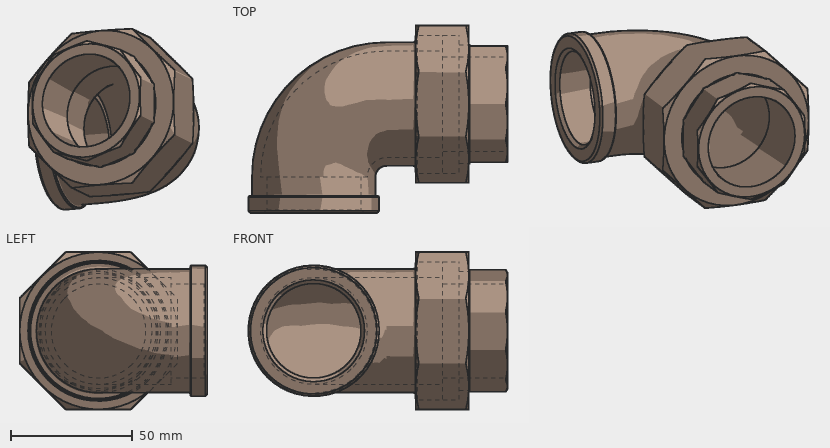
import cadquery as cq
import math


overall_length = 107.0
overall_depth = 77.5

bend_radius = 30.0
pipe_diameter = 51.0
bend_bore_diameter = 44.0
thread_bore_diameter = 39.0
mouth_flare_diameter = 41.9
mouth_flare_depth = 1.5
collar_diameter = 54.0
collar_length = 7.2
collar_front_chamfer = 1.0
collar_back_chamfer = 0.5
collar_root_fillet = 0.5
shoulder_fillet = 1.0
shoulder_diameter = 56.9
shoulder_chamfer = 0.5
shoulder_standout = 0.1

nut_start = 42.0
nut_end = 64.0
nut_sides = 8
nut_across_flats = 65.0
nut_corner_fillet = 1.0
nut_face_diameter = 64.7
nut_face_angle = 25
nut_mouth_diameter = 58.0
nut_lip_thickness = 4.3

tail_sides = 10
tail_across_flats = 48.0
tail_corner_fillet = 1.0
tail_face_diameter = 47.5
tail_face_angle = 30
tail_neck_diameter = 49.0
neck_standout = 0.3
seat_x = 53.0

mouth_y = nut_across_flats / 2 - overall_depth
tail_end = overall_length - collar_diameter / 2
pipe_radius = pipe_diameter / 2
bend_bore_radius = bend_bore_diameter / 2
shoulder_radius = shoulder_diameter / 2
shoulder_start = nut_start - shoulder_standout
nut_mouth_chamfer = nut_mouth_diameter / 2 - shoulder_radius
lip_start = nut_end - nut_lip_thickness
grip_start = nut_end + neck_standout


def across_corners(sides, across_flats):
    return across_flats / math.cos(math.pi / sides)


def revolved_about_x(outline):
    """Solid of revolution about X of a closed (x, radius) wire."""
    return outline.close().revolve(360, (0, 0, 0), (1, 0, 0))


def cylinder_x(diameter, start, end):
    return cq.Workplane("YZ").workplane(offset=start).circle(diameter / 2).extrude(end - start)


def polygon_bar(sides, across_flats, start, end, turn, corner_fillet):
    """Polygonal bar along X with rounded long edges; turn rotates its first corner away from +Y."""
    bar = (
        cq.Workplane("YZ")
        .workplane(offset=start)
        .polygon(sides, across_corners(sides, across_flats))
        .extrude(end - start)
    )
    return bar.edges("|X").fillet(corner_fillet).rotate((0, 0, 0), (1, 0, 0), turn)


def face_cone(face_diameter, angle, start, end, corner_diameter, at_start):
    """Turned envelope that bevels the corners of a bar at its far end, and at its start if asked."""
    face_radius = face_diameter / 2
    outer_radius = corner_diameter / 2
    bevel = (outer_radius - face_radius) * math.tan(math.radians(angle))
    outline = cq.Workplane("XY").moveTo(start, 0)
    if at_start:
        outline = outline.lineTo(start, face_radius).lineTo(start + bevel, outer_radius)
    else:
        outline = outline.lineTo(start, outer_radius)
    outline = outline.lineTo(end - bevel, outer_radius).lineTo(end, face_radius).lineTo(end, 0)
    return revolved_about_x(outline)


def make_bend():
    """Hollow quarter torus joining the two legs."""
    return (
        cq.Workplane("XZ", origin=(0, -bend_radius, 0))
        .circle(pipe_radius)
        .circle(bend_bore_radius)
        .revolve(90, (bend_radius, 0, 0), (bend_radius, -1, 0))
    )


def make_mouth_leg():
    """Straight leg along -Y with the chamfered collar and the flared mouth bore."""
    collar_radius = collar_diameter / 2
    collar_back = mouth_y + collar_length
    flare_radius = mouth_flare_diameter / 2
    bore_radius = thread_bore_diameter / 2
    return (
        cq.Workplane("XY")
        .moveTo(flare_radius, mouth_y)
        .lineTo(collar_radius - collar_front_chamfer, mouth_y)
        .lineTo(collar_radius, mouth_y + collar_front_chamfer)
        .lineTo(collar_radius, collar_back - collar_back_chamfer)
        .lineTo(collar_radius - collar_back_chamfer, collar_back)
        .lineTo(pipe_radius + collar_root_fillet, collar_back)
        .radiusArc((pipe_radius, collar_back + collar_root_fillet), collar_root_fillet)
        .lineTo(pipe_radius, -bend_radius)
        .lineTo(bore_radius, -bend_radius)
        .lineTo(bore_radius, mouth_y + mouth_flare_depth)
        .close()
        .revolve(360, (0, 0, 0), (0, 1, 0))
    )


def make_union_leg():
    """Straight leg along +X that grows through a fillet into the shoulder inside the nut."""
    return revolved_about_x(
        cq.Workplane("XY")
        .moveTo(bend_radius, bend_bore_radius)
        .lineTo(bend_radius, pipe_radius)
        .lineTo(shoulder_start - shoulder_fillet, pipe_radius)
        .radiusArc((shoulder_start, pipe_radius + shoulder_fillet), -shoulder_fillet)
        .lineTo(shoulder_start, shoulder_radius - shoulder_chamfer)
        .lineTo(shoulder_start + shoulder_chamfer, shoulder_radius)
        .lineTo(seat_x, shoulder_radius)
        .lineTo(seat_x, bend_bore_radius)
    )


def make_elbow():
    return make_bend().union(make_mouth_leg()).union(make_union_leg())


def make_nut():
    half_side_turn = 180 / nut_sides
    bar = polygon_bar(nut_sides, nut_across_flats, nut_start, nut_end, half_side_turn, nut_corner_fillet)
    corner_diameter = across_corners(nut_sides, nut_across_flats)
    envelope = face_cone(nut_face_diameter, nut_face_angle, nut_start, nut_end, corner_diameter, True)
    bore = revolved_about_x(
        cq.Workplane("XY")
        .moveTo(nut_start, 0)
        .lineTo(nut_start, nut_mouth_diameter / 2)
        .lineTo(nut_start + nut_mouth_chamfer, shoulder_radius)
        .lineTo(lip_start, shoulder_radius)
        .lineTo(lip_start, tail_neck_diameter / 2)
        .lineTo(nut_end, tail_neck_diameter / 2)
        .lineTo(nut_end, 0)
    )
    return bar.intersect(envelope).cut(bore)


def make_tail():
    corner_up_turn = 90
    bar = polygon_bar(tail_sides, tail_across_flats, grip_start, tail_end, corner_up_turn, tail_corner_fillet)
    corner_diameter = across_corners(tail_sides, tail_across_flats)
    envelope = face_cone(tail_face_diameter, tail_face_angle, grip_start, tail_end, corner_diameter, False)
    flange = cylinder_x(shoulder_diameter, seat_x, lip_start)
    neck = cylinder_x(tail_neck_diameter, lip_start, grip_start)
    bore = cylinder_x(thread_bore_diameter, seat_x, tail_end)
    return bar.intersect(envelope).union(neck).union(flange).cut(bore)


elbow = make_elbow()
nut = make_nut()
tail = make_tail()

result = cq.Compound.makeCompound([elbow.val(), nut.val(), tail.val()])